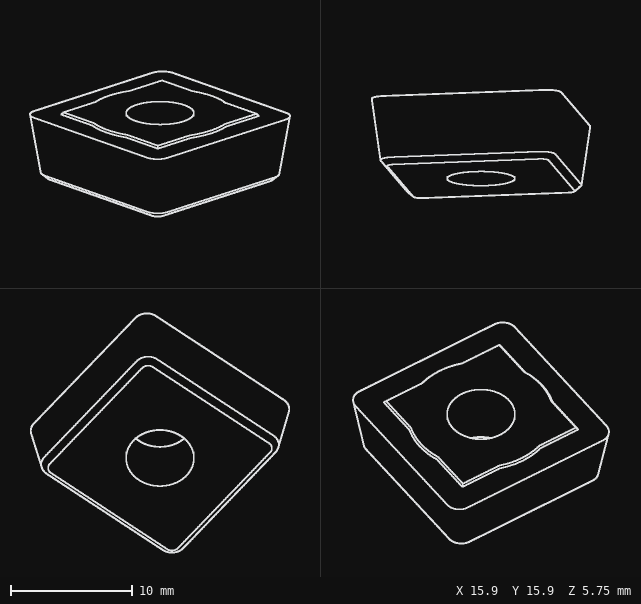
import cadquery as cq
import math


side_length = 15.88
body_height = 5.56
corner_radius = 1.2
relief_angle = 7.0
relief_slope = math.tan(math.radians(relief_angle))

bottom_chamfer = 0.5
flank_inset = (body_height - bottom_chamfer) * relief_slope
flank_foot_side = side_length - 2 * flank_inset
chamfer_inset = bottom_chamfer * (1 + relief_slope)

total_height = 5.75
land_height = total_height - body_height
land_side = 11.55
land_diameter = 12.24
land_inset = 0.14

hole_diameter = 5.6


def rounded_square(side, radius, z):
    """Wire of a centred square with round corners at height z."""
    square = cq.Workplane("XY").workplane(offset=z).rect(side, side).val()
    return square.fillet2D(radius, square.Vertices())


def make_body():
    """Relieved flanks with a constant corner radius, above a chamfered bottom edge."""
    top = rounded_square(side_length, corner_radius, body_height)
    flank_foot = rounded_square(flank_foot_side, corner_radius, bottom_chamfer)
    bottom = rounded_square(
        flank_foot_side - 2 * chamfer_inset,
        corner_radius - chamfer_inset,
        0,
    )
    flanks = cq.Solid.makeLoft([flank_foot, top], True)
    chamfer = cq.Solid.makeLoft([bottom, flank_foot], True)
    return cq.Workplane("XY").add(flanks).union(cq.Workplane("XY").add(chamfer))


def make_land():
    """Raised land with sloping sides: the disc bulges past the middle of each square side."""
    land_taper = math.degrees(math.atan2(land_inset, land_height))
    base = cq.Workplane("XY").workplane(offset=body_height)
    square = base.rect(land_side, land_side).extrude(land_height, taper=land_taper)
    disc = base.circle(land_diameter / 2).extrude(land_height, taper=land_taper)
    return square.union(disc)


def make_hole():
    """Cylinder that cuts the hole through the full height."""
    return cq.Workplane("XY").circle(hole_diameter / 2).extrude(total_height)


result = make_body().union(make_land()).cut(make_hole())